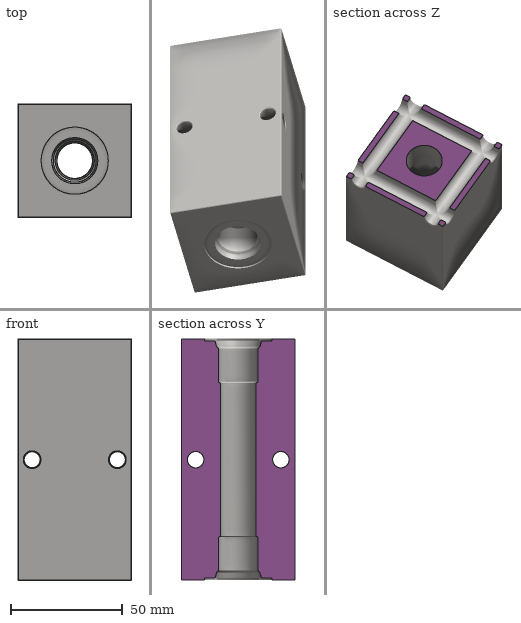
import cadquery as cq
import math

block_height = 108
block_side = 50.8
edge_chamfer = 0.25

bore_diameter = 15.9
spotface_diameter = 30.0
spotface_depth = 0.9
seal_mouth_diameter = 20.6
seal_root_diameter = 19.2
seal_depth = 2.6
thread_diameter = 17.5
thread_depth = 18.4
drill_point_angle = 118

mount_spacing = 38.1
mount_diameter = 7.1
mount_mouth_diameter = 7.9


def make_block():
    """Square block with all its edges broken."""
    block = cq.Workplane("XY").box(block_side, block_side, block_height)
    return block.edges().chamfer(edge_chamfer)


def make_port():
    """Revolved cutter for the port that opens at the top face."""
    spotface_radius = spotface_diameter / 2
    thread_radius = thread_diameter / 2
    top = block_height / 2
    floor = top - spotface_depth
    seal_bottom = floor - seal_depth
    lead_in_bottom = seal_bottom - (seal_root_diameter - thread_diameter) / 2
    thread_bottom = floor - thread_depth
    drill_tip = thread_bottom - thread_radius / math.tan(math.radians(drill_point_angle / 2))
    return (
        cq.Workplane("XZ")
        .moveTo(0, top)
        .lineTo(spotface_radius, top)
        .lineTo(spotface_radius, floor)
        .lineTo(seal_mouth_diameter / 2, floor)
        .lineTo(seal_root_diameter / 2, seal_bottom)
        .lineTo(thread_radius, lead_in_bottom)
        .lineTo(thread_radius, thread_bottom)
        .lineTo(0, drill_tip)
        .close()
        .revolve(360, (0, 0), (0, 1))
    )


def make_mount_pair():
    """Cutter for two holes along Y, with a 45 degree countersink at each mouth."""
    hole_radius = mount_diameter / 2
    mouth_radius = mount_mouth_diameter / 2
    countersink_depth = mouth_radius - hole_radius
    face = block_side / 2
    hole = (
        cq.Workplane("XY")
        .moveTo(0, -face)
        .lineTo(mouth_radius, -face)
        .lineTo(hole_radius, countersink_depth - face)
        .lineTo(hole_radius, face - countersink_depth)
        .lineTo(mouth_radius, face)
        .lineTo(0, face)
        .close()
        .revolve(360, (0, 0), (0, 1))
    )
    offset = mount_spacing / 2
    return hole.translate((-offset, 0, 0)).union(hole.translate((offset, 0, 0)))


bore = cq.Workplane("XY").circle(bore_diameter / 2).extrude(block_height / 2, both=True)
top_port = make_port()
bottom_port = top_port.mirror("XY")
mounts_along_y = make_mount_pair()
mounts_along_x = mounts_along_y.rotate((0, 0, 0), (0, 0, 1), 90)

result = make_block()
for cutter in (bore, top_port, bottom_port, mounts_along_y, mounts_along_x):
    result = result.cut(cutter)